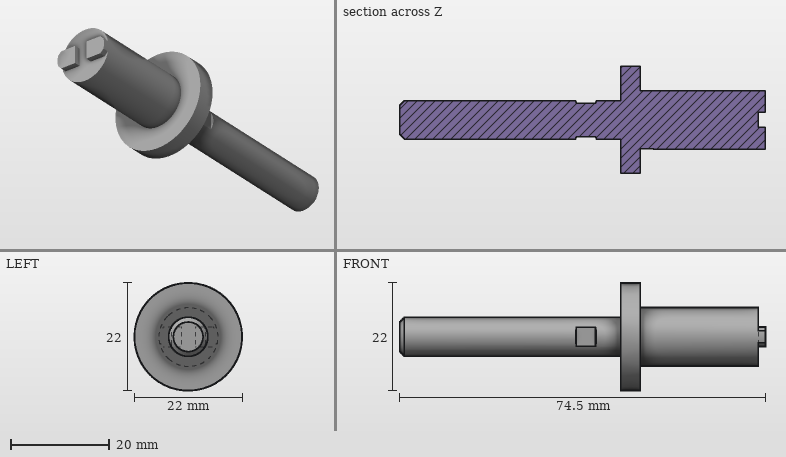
import cadquery as cq

total_length = 74.5
shaft_diameter = 8.0
shaft_length = 45.0
shaft_chamfer = 1.0
flange_diameter = 22.0
flange_thickness = 4.0
body_diameter = 12.0

flats_center_x = 37.9
flats_floor_length = 3.9
flats_mouth_length = 4.25
across_flats = 6.9

lug_length = 1.5
lug_width = 4.0
lug_gap = 2.9
lug_chamfer = 0.8

flange_end_x = shaft_length + flange_thickness
lug_start_x = total_length - lug_length


def cylinder_along_x(start_x, end_x, diameter):
    return cq.Workplane("YZ", origin=(start_x, 0, 0)).circle(diameter / 2).extrude(end_x - start_x)


def cut_wrench_flats(part):
    """Cut both flats, their end walls leaning slightly outward."""
    half_floor = flats_floor_length / 2
    half_mouth = flats_mouth_length / 2
    for side in (-1, 1):
        floor_y = side * across_flats / 2
        mouth_y = side * shaft_diameter / 2
        cutter = (
            cq.Workplane("XY", origin=(flats_center_x, 0, 0))
            .moveTo(-half_floor, floor_y)
            .lineTo(half_floor, floor_y)
            .lineTo(half_mouth, mouth_y)
            .lineTo(-half_mouth, mouth_y)
            .close()
            .extrude(shaft_diameter / 2, both=True)
        )
        part = part.cut(cutter)
    return part


def cut_end_to_lugs(part):
    """Cut away the end of the body around and between the lugs."""
    half_tip = lug_width / 2 - lug_chamfer
    chamfer_end_y = ((body_diameter / 2) ** 2 - half_tip**2) ** 0.5
    flank_end_y = chamfer_end_y - lug_chamfer

    waste = cq.Workplane("YZ", origin=(lug_start_x, 0, 0)).rect(body_diameter * 2, body_diameter * 2)
    waste = waste.extrude(lug_length)
    for side in (-1, 1):
        lug = (
            cq.Workplane("YZ", origin=(lug_start_x, 0, 0))
            .moveTo(side * lug_gap / 2, -lug_width / 2)
            .lineTo(side * flank_end_y, -lug_width / 2)
            .lineTo(side * chamfer_end_y, -half_tip)
            .lineTo(side * body_diameter, -half_tip)
            .lineTo(side * body_diameter, half_tip)
            .lineTo(side * chamfer_end_y, half_tip)
            .lineTo(side * flank_end_y, lug_width / 2)
            .lineTo(side * lug_gap / 2, lug_width / 2)
            .close()
            .extrude(lug_length)
        )
        waste = waste.cut(lug)
    return part.cut(waste)


shaft = cylinder_along_x(0, shaft_length, shaft_diameter).faces("<X").chamfer(shaft_chamfer)
shaft = cut_wrench_flats(shaft)
flange = cylinder_along_x(shaft_length, flange_end_x, flange_diameter)
body = cut_end_to_lugs(cylinder_along_x(flange_end_x, total_length, body_diameter))

result = shaft.union(flange).union(body)